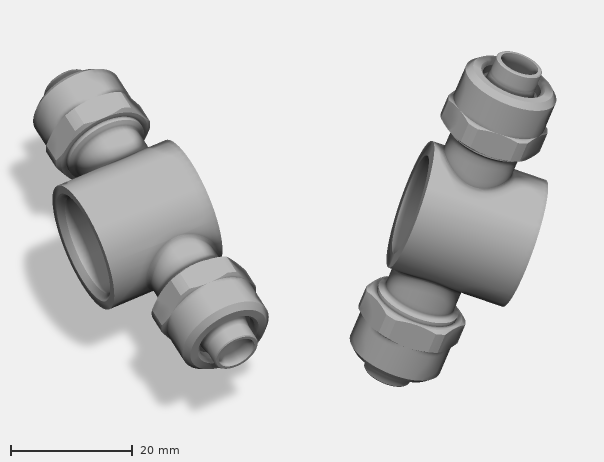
import cadquery as cq
import math

ORIGIN = (0, 0, 0)
X_AXIS = (1, 0, 0)
Y_AXIS = (0, 1, 0)

RUN_OD = 22.0
RUN_BORE = 17.0
RUN_FRONT = -12.5
RUN_BACK = 7.5
RUN_MOUTH_CHAMFER = 1.05

END_X = 30.5
NECK_OD = 12.0
BRANCH_BORE = 6.5
JUNCTION_FILLET = 0.55

COLLAR_OD = 14.0
COLLAR_X = 15.85
COLLAR_CONE_ANGLE = math.radians(60)
COLLAR_BLEND = 0.4

HEX_FLATS = 16.0
HEX_CORNER_OD = 17.45
HEX_INNER_X = 16.6
HEX_OUTER_X = 21.0
HEX_CHAMFER_ANGLE = math.radians(30)

NUT_OD = HEX_FLATS
NUT_FACE_X = 27.5
NUT_CHAMFER = 1.0
MOUTH_OD = 11.2
RECESS_OD = 10.2
RECESS_DEPTH = 2.0

STUB_OD = 8.0
STUB_CHAMFER = 0.2
FLARE_OD = 8.7


def make_neck():
    """Neck, blended cone and collar, starting inside the run."""
    neck_r = NECK_OD / 2
    collar_r = COLLAR_OD / 2
    angle = COLLAR_CONE_ANGLE
    cone_foot_x = COLLAR_X - (collar_r - neck_r) / math.tan(angle)
    tangent = COLLAR_BLEND * math.tan(angle / 2)
    arc_start_x = cone_foot_x - tangent
    arc_mid = (
        arc_start_x + COLLAR_BLEND * math.sin(angle / 2),
        neck_r + COLLAR_BLEND * (1 - math.cos(angle / 2)),
    )
    arc_end = (
        cone_foot_x + tangent * math.cos(angle),
        neck_r + tangent * math.sin(angle),
    )
    return (
        cq.Workplane("XY")
        .lineTo(0, neck_r)
        .lineTo(arc_start_x, neck_r)
        .threePointArc(arc_mid, arc_end)
        .lineTo(COLLAR_X, collar_r)
        .lineTo(HEX_INNER_X, collar_r)
        .lineTo(HEX_INNER_X, 0)
        .close()
        .revolve(360, ORIGIN, X_AXIS)
    )


def make_hexagon():
    """Hexagon with corners toward +Y and -Y, trimmed by a chamfered cylinder."""
    length = HEX_OUTER_X - HEX_INNER_X
    corner_r = HEX_CORNER_OD / 2
    flat_r = HEX_FLATS / 2
    chamfer_length = (corner_r - flat_r) * math.tan(HEX_CHAMFER_ANGLE)
    prism = (
        cq.Workplane("YZ", origin=(HEX_INNER_X, 0, 0))
        .polygon(6, HEX_FLATS / math.cos(math.radians(30)))
        .extrude(length)
    )
    envelope = (
        cq.Workplane("XY")
        .moveTo(HEX_INNER_X, 0)
        .lineTo(HEX_INNER_X, flat_r)
        .lineTo(HEX_INNER_X + chamfer_length, corner_r)
        .lineTo(HEX_OUTER_X - chamfer_length, corner_r)
        .lineTo(HEX_OUTER_X, flat_r)
        .lineTo(HEX_OUTER_X, 0)
        .close()
        .revolve(360, ORIGIN, X_AXIS)
    )
    return prism.intersect(envelope)


def make_nut_and_stub():
    """Nut body with the recess around the flared stub."""
    nut_r = NUT_OD / 2
    mouth_r = MOUTH_OD / 2
    recess_r = RECESS_OD / 2
    stub_r = STUB_OD / 2
    recess_floor_x = NUT_FACE_X - RECESS_DEPTH
    return (
        cq.Workplane("XY")
        .moveTo(HEX_OUTER_X, 0)
        .lineTo(HEX_OUTER_X, nut_r)
        .lineTo(NUT_FACE_X - NUT_CHAMFER, nut_r)
        .lineTo(NUT_FACE_X, nut_r - NUT_CHAMFER)
        .lineTo(NUT_FACE_X, mouth_r)
        .lineTo(NUT_FACE_X - (mouth_r - recess_r), recess_r)
        .lineTo(recess_floor_x, recess_r)
        .lineTo(recess_floor_x, FLARE_OD / 2)
        .lineTo(NUT_FACE_X, stub_r)
        .lineTo(END_X - STUB_CHAMFER, stub_r)
        .lineTo(END_X, stub_r - STUB_CHAMFER)
        .lineTo(END_X, 0)
        .close()
        .revolve(360, ORIGIN, X_AXIS)
    )


def make_run():
    """Solid run cylinder; its axis is Y."""
    return (
        cq.Workplane("XZ", origin=(0, RUN_BACK, 0))
        .circle(RUN_OD / 2)
        .extrude(RUN_BACK - RUN_FRONT)
    )


def make_run_bore():
    """Through bore of the run with a 45 degree mouth at the front end."""
    bore_r = RUN_BORE / 2
    return (
        cq.Workplane("XY")
        .moveTo(0, RUN_FRONT)
        .lineTo(bore_r + RUN_MOUTH_CHAMFER, RUN_FRONT)
        .lineTo(bore_r, RUN_FRONT + RUN_MOUTH_CHAMFER)
        .lineTo(bore_r, RUN_BACK)
        .lineTo(0, RUN_BACK)
        .close()
        .revolve(360, ORIGIN, Y_AXIS)
    )


neck = make_neck()
body = make_run().union(neck).union(neck.mirror("YZ"))
saddle_x = RUN_OD / 2 + JUNCTION_FILLET
saddle_r = NECK_OD / 2 + JUNCTION_FILLET
saddle_box = cq.selectors.BoxSelector(
    (-saddle_x, -saddle_r, -saddle_r),
    (saddle_x, saddle_r, saddle_r),
    boundingbox=True,
)
body = body.edges(saddle_box).fillet(JUNCTION_FILLET)

coupling = make_hexagon().union(make_nut_and_stub())
body = body.union(coupling).union(coupling.mirror("YZ"))

branch_bore = (
    cq.Workplane("YZ", origin=(-END_X, 0, 0))
    .circle(BRANCH_BORE / 2)
    .extrude(2 * END_X)
)
result = body.cut(make_run_bore()).cut(branch_bore)